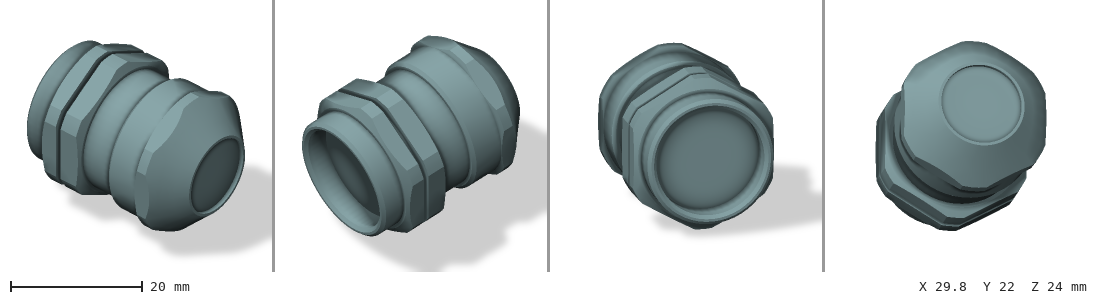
import cadquery as cq
import math


length = 29.75
across_flats = 22.0
edge_break = 0.5

tube_diameter = 19.8
entry_bore_diameter = 17.0
entry_bore_depth = 4.0
collar_diameter = 21.93
collar_start = 17.05

nut_start = 4.0
nut_end = 7.05
ring_center_radius = 9.4
ring_section_radius = 0.62
body_hex_start = 8.0
body_hex_end = 11.57
hex_corner_diameter = 23.98
hex_face_diameter = 20.95
nut_chamfer_angle = 30.0
body_chamfer_angle = 20.0

cap_start = 22.52
cap_corner_diameter = 23.53
cap_chamfer_angle = 30.0
cap_bore_diameter = 12.5
cap_bore_depth = 0.7
nose_diameter = 13.4
nose_angle = 45.0


def cylinder(diameter, start, end):
    """Round bar along X between two stations."""
    return cq.Workplane("YZ", origin=(start, 0, 0)).circle(diameter / 2).extrude(end - start)


def revolve_profile(points):
    """Turn a closed (station, radius) outline about the X axis."""
    return cq.Workplane("XY").polyline(points).close().revolve(360, (0, 0, 0), (1, 0, 0))


def cone_length(large_diameter, small_diameter, angle):
    """Axial length of a cone whose face leans by angle from the end plane."""
    return (large_diameter - small_diameter) / 2 * math.tan(math.radians(angle))


def turned_hexagon(profile):
    """Hexagon with flats on +Y and -Y, trimmed to a turned profile."""
    start = profile[0][0]
    end = profile[-1][0]
    corner_to_corner = across_flats / math.cos(math.pi / 6)
    hexagon = (
        cq.Workplane("YZ", origin=(start, 0, 0))
        .transformed(rotate=(0, 0, 90))
        .polygon(6, corner_to_corner)
        .extrude(end - start)
    )
    return hexagon.intersect(revolve_profile(profile))


def make_tube():
    """Entry tube running on through the body, with a broken front edge."""
    return cylinder(tube_diameter, 0, collar_start).faces("<X").chamfer(edge_break)


def make_collar():
    """Wide round collar between the body and the cap hexagon."""
    return cylinder(collar_diameter, collar_start, cap_start).faces("<X").chamfer(edge_break)


def make_locknut():
    """Hexagon nut with its corners chamfered on the entry side."""
    face_radius = hex_face_diameter / 2
    corner_radius = hex_corner_diameter / 2
    chamfer = cone_length(hex_corner_diameter, hex_face_diameter, nut_chamfer_angle)
    return turned_hexagon([
        (nut_start, 0),
        (nut_start, face_radius),
        (nut_start + chamfer, corner_radius),
        (nut_end, corner_radius),
        (nut_end, 0),
    ])


def make_body_hexagon():
    """Hexagon of the body with its corners chamfered on the collar side."""
    face_radius = hex_face_diameter / 2
    corner_radius = hex_corner_diameter / 2
    chamfer = cone_length(hex_corner_diameter, hex_face_diameter, body_chamfer_angle)
    return turned_hexagon([
        (body_hex_start, 0),
        (body_hex_start, corner_radius),
        (body_hex_end - chamfer, corner_radius),
        (body_hex_end, face_radius),
        (body_hex_end, 0),
    ])


def make_ring_groove():
    """Annular cut that leaves the sealing ring alone in the nut gap."""
    outer = cylinder(hex_corner_diameter, nut_end, body_hex_start)
    core = cylinder(2 * ring_center_radius, nut_end, body_hex_start)
    return outer.cut(core)


def make_sealing_ring():
    """Round-section ring touching the locknut and tucked into the body hexagon."""
    center = cq.Vector(nut_end + ring_section_radius, 0, 0)
    ring = cq.Solid.makeTorus(ring_center_radius, ring_section_radius, center, cq.Vector(1, 0, 0))
    return cq.Workplane(obj=ring)


def make_cap():
    """Cap hexagon running out into a conical nose."""
    collar_radius = collar_diameter / 2
    corner_radius = cap_corner_diameter / 2
    chamfer = cone_length(cap_corner_diameter, collar_diameter, cap_chamfer_angle)
    nose = cone_length(cap_corner_diameter, nose_diameter, nose_angle)
    return turned_hexagon([
        (cap_start, 0),
        (cap_start, collar_radius),
        (cap_start + chamfer, corner_radius),
        (length - nose, corner_radius),
        (length, nose_diameter / 2),
        (length, 0),
    ])


def make_entry_bore():
    """Blind bore at the entry end with a countersunk mouth."""
    bore_radius = entry_bore_diameter / 2
    return revolve_profile([
        (0, 0),
        (0, bore_radius + edge_break),
        (edge_break, bore_radius),
        (entry_bore_depth, bore_radius),
        (entry_bore_depth, 0),
    ])


result = make_tube().cut(make_ring_groove())
for section in (make_locknut(), make_sealing_ring(), make_body_hexagon(), make_collar(), make_cap()):
    result = result.union(section)

cap_bore = cylinder(cap_bore_diameter, length - cap_bore_depth, length)
result = result.cut(make_entry_bore()).cut(cap_bore)